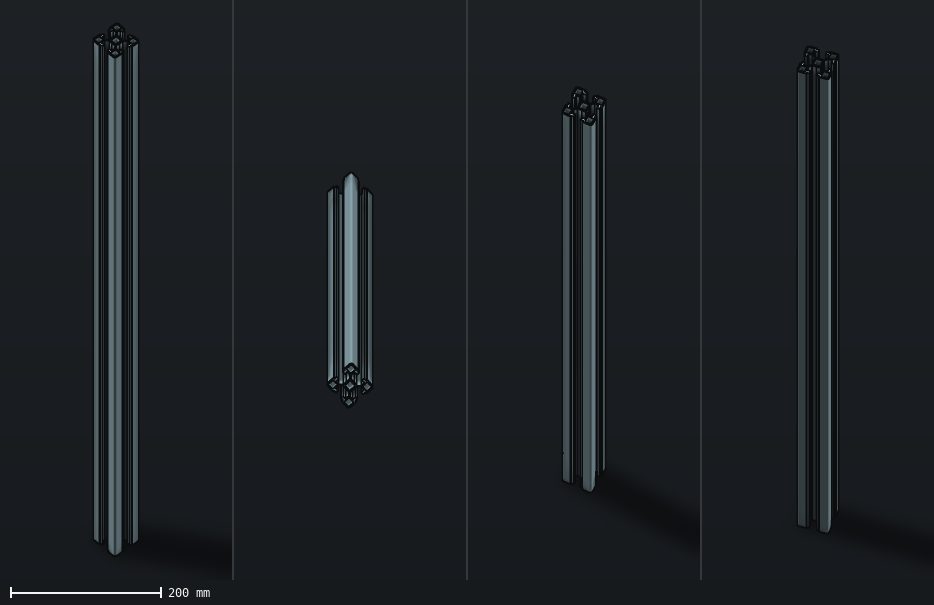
import cadquery as cq
import math

side = 45.0
length = 1000.0
half_side = side / 2
corner_radius = 3.2

mouth_width = 10.0
recess_width = 17.7
recess_depth = 1.9
lip_inner_depth = 5.9
cavity_width = 19.7
cavity_wall_depth = 5.4

floor_distance = 6.9
floor_width = 12.0
floor_slope = math.radians(1.4)
ridge_width = 4.7
ridge_slope = math.radians(10.0)

bore_width = 10.0
bore_radius = 1.0
hollow_wall = 1.8
hollow_width = 9.1
hollow_radius = 0.8


def rounded_prism(width, radius, center=0.0):
    """Square prism with rounded long edges, its axis at X = Y = center."""
    square = cq.Workplane("XY").center(center, center).rect(width, width)
    return square.extrude(length).edges("|Z").fillet(radius)


def slot_cutter():
    """Prism that cuts the T-slot of the +Y side and leaves the ridge on its floor."""
    recess_y = half_side - recess_depth
    lip_y = half_side - lip_inner_depth
    shoulder_y = lip_y - cavity_wall_depth
    ridge_foot_y = floor_distance + (floor_width - ridge_width) / 2 * math.tan(floor_slope)
    ridge_top_y = ridge_foot_y + ridge_width / 2 * math.tan(ridge_slope)
    right_side = [
        (ridge_width / 2, ridge_foot_y),
        (floor_width / 2, floor_distance),
        (cavity_width / 2, shoulder_y),
        (cavity_width / 2, lip_y),
        (mouth_width / 2, lip_y),
        (mouth_width / 2, recess_y),
        (recess_width / 2, recess_y),
        (recess_width / 2, half_side),
    ]
    left_side = [(-x, y) for x, y in reversed(right_side)]
    outline = [(0, ridge_top_y)] + right_side + left_side
    return cq.Workplane("XY").polyline(outline).close().extrude(length)


def corner_hollow():
    """Square channel in the +X +Y corner of the profile."""
    center = half_side - hollow_wall - hollow_width / 2
    return rounded_prism(hollow_width, hollow_radius, center)


def extrusion():
    """The whole profile: rounded bar, central bore, and a slot and a hollow per quarter turn."""
    body = rounded_prism(side, corner_radius)
    body = body.cut(rounded_prism(bore_width, bore_radius))
    for cutter in (slot_cutter(), corner_hollow()):
        for quarter in range(4):
            body = body.cut(cutter.rotate((0, 0, 0), (0, 0, 1), 90 * quarter))
    return body


result = extrusion().translate((0, 0, -length / 2))